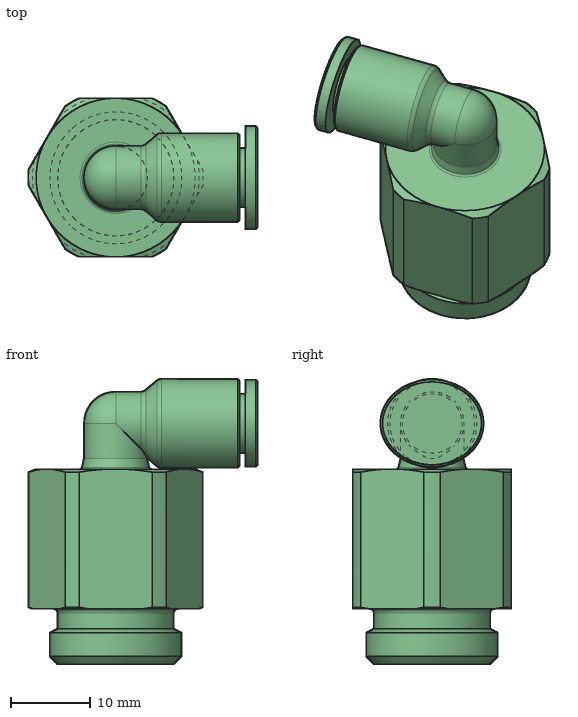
import cadquery as cq
import math

total_height = 36.0
spigot_chamfer = 1.0
shoulder_bottom = 4.0
shoulder_top = 4.5
nut_bottom = 7.0
nut_top = 24.62
stem_flare_top = 26.0

spigot_radius = 8.3
neck_radius = 7.35
neck_fillet = 0.5

across_flats = 20.0
across_corners = 22.05
nut_top_edge_radius = across_flats / 2
nut_top_bevel = 0.4
nut_bottom_edge_radius = 10.5
nut_bottom_bevel = 0.2

elbow_radius = 4.0
stem_flare_radius = 4.25
stem_fillet = 0.25

socket_radius = 5.6
socket_start = 5.45
socket_end = 15.65
socket_cone_start = 3.53
socket_blend = 0.95
socket_end_chamfer = 0.3

sleeve_radius = 3.75
collar_start = 16.35
collar_end = 17.93
collar_width = 13.05
collar_height = 11.0
collar_chamfer = 0.3

arm_height = total_height - socket_radius


def cylinder(radius, bottom, top):
    return cq.Workplane("XY").workplane(offset=bottom).circle(radius).extrude(top - bottom)


def make_spigot():
    """Turned spigot with a bevelled lower edge and a filleted neck under the nut."""
    return (
        cq.Workplane("XZ")
        .moveTo(0, 0)
        .lineTo(spigot_radius - spigot_chamfer, 0)
        .lineTo(spigot_radius, spigot_chamfer)
        .lineTo(spigot_radius, shoulder_bottom)
        .lineTo(neck_radius, shoulder_top)
        .lineTo(neck_radius, nut_bottom - neck_fillet)
        .radiusArc((neck_radius + neck_fillet, nut_bottom), neck_fillet)
        .lineTo(0, nut_bottom)
        .close()
        .revolve(360, (0, 0), (0, 1))
    )


def make_nut():
    """Hexagon trimmed by a turned blank that rounds its corners and bevels both ends."""
    corner_radius = across_corners / 2
    hexagon = (
        cq.Workplane("XY")
        .workplane(offset=nut_bottom)
        .polygon(6, across_flats / math.cos(math.pi / 6))
        .extrude(nut_top - nut_bottom)
    )
    blank = (
        cq.Workplane("XZ")
        .moveTo(0, nut_bottom)
        .lineTo(nut_bottom_edge_radius, nut_bottom)
        .lineTo(corner_radius, nut_bottom + nut_bottom_bevel)
        .lineTo(corner_radius, nut_top - nut_top_bevel)
        .lineTo(nut_top_edge_radius, nut_top)
        .lineTo(0, nut_top)
        .close()
        .revolve(360, (0, 0), (0, 1))
    )
    return hexagon.intersect(blank)


def make_stem():
    """Vertical stem that widens slightly and ends in a small fillet on the nut."""
    return (
        cq.Workplane("XZ")
        .moveTo(0, nut_top)
        .lineTo(stem_flare_radius + stem_fillet, nut_top)
        .radiusArc((stem_flare_radius, nut_top + stem_fillet), stem_fillet)
        .lineTo(elbow_radius, stem_flare_top)
        .lineTo(elbow_radius, arm_height)
        .lineTo(0, arm_height)
        .close()
        .revolve(360, (0, 0), (0, 1))
    )


def make_arm():
    """Horizontal arm and socket, modelled along Z and then laid along +X."""
    arm = cylinder(elbow_radius, 0, socket_cone_start)
    cone = (
        cq.Workplane("XY")
        .workplane(offset=socket_cone_start)
        .circle(elbow_radius)
        .workplane(offset=socket_start - socket_cone_start)
        .circle(socket_radius)
        .loft()
    )
    socket = cylinder(socket_radius, socket_start, socket_end)
    blends = cq.selectors.BoxSelector(
        (-socket_radius, -socket_radius, socket_cone_start - socket_blend),
        (socket_radius, socket_radius, socket_start + socket_blend),
    )
    body = arm.union(cone).union(socket)
    body = body.edges("%CIRCLE").edges(blends).fillet(socket_blend)
    body = body.faces(">Z").chamfer(socket_end_chamfer)

    sleeve = cylinder(sleeve_radius, socket_end, collar_start)
    collar = (
        cq.Workplane("XY")
        .workplane(offset=collar_start)
        .ellipse(collar_height / 2, collar_width / 2)
        .extrude(collar_end - collar_start)
        .faces(">Z")
        .chamfer(collar_chamfer)
    )
    horizontal = body.union(sleeve).union(collar)
    return horizontal.rotate((0, 0, 0), (0, 1, 0), 90).translate((0, 0, arm_height))


ball_corner = cq.Workplane("XY").sphere(elbow_radius).translate((0, 0, arm_height))

result = (
    make_spigot()
    .union(make_nut())
    .union(make_stem())
    .union(ball_corner)
    .union(make_arm())
)